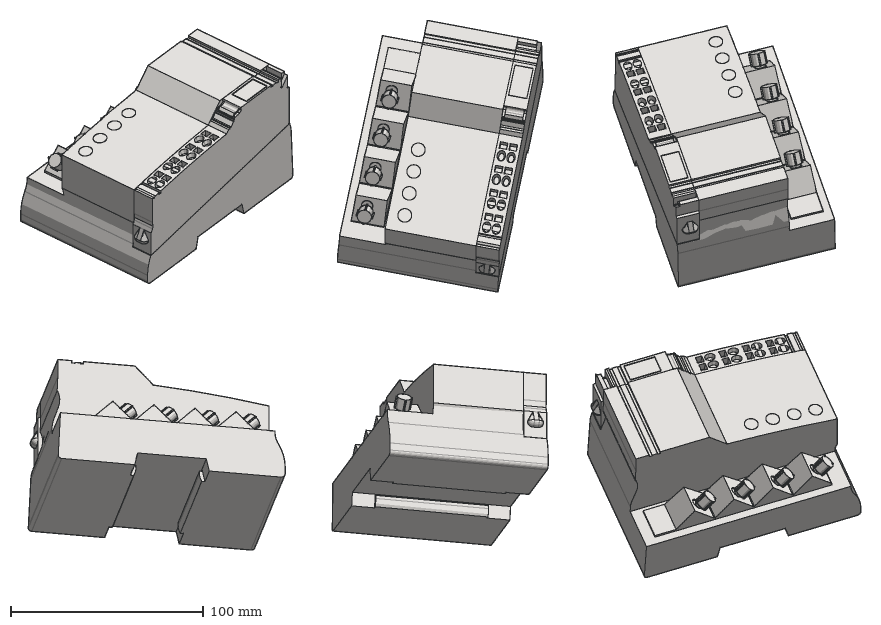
import cadquery as cq
import math


module_width = 85.0
module_depth = 120.1
top_height = 70.4
shelf_height = 26.7
terminal_width = 12.3
shelf_width = 2 * terminal_width
terminal_x = module_width - terminal_width
terminal_mid_x = module_width - terminal_width / 2
clearance = 6.0

front_face_y = 4.0
roof_front_height = 53.7
roof_back_y = 65.2
roof_back_height = 60.2
roof_rise = 0.78
slope_top_y = 75.0
back_face_y = 115.8
back_step_height = 60.3

groove_front_y = 102.2
groove_back_y = 108.3
groove_depth = 1.3
groove_ridge_front_y = 103.6
groove_ridge_back_y = 106.6
groove_ridge_height = 0.5

base_front_fillet = 2.3
base_back_fillet = 1.8
rail_slot_height = 7.0
rail_slot_y = 59.9
rail_slot_bottom_width = 39.4
rail_slot_top_width = 36.3
foot_inset = terminal_width
foot_reach_bottom = 1.7
foot_reach_middle = 2.5
foot_middle_height = 1.9
foot_reach = 2.9
foot_bulge_height = 4.2
foot_height = 5.9

indicator_count = 4
indicator_diameter = 7.2
indicator_x = 33.1
indicator_first_y = 12.9
indicator_pitch = 11.9
indicator_depth = 0.1

strip_x = 4.3
strip_width = 17.5
strip_back_y = 112.7
strip_thickness = 1.2
wedge_count = 4
wedge_pitch = 21.7
wedge_height = 10.6
wedge_first_y = 90.3
wedge_draft = 0.5

socket_x = 11.4
socket_from_peak = 8.0
socket_length = 7.3
socket_diameter = 7.5
key_width = 0.7
key_span = 8.8
neck_diameter = 6.0
neck_length = 0.6
relief_offset = 2.9
relief_diameter = 6.0
relief_depth = 0.7

plate_front_y = 3.0
plate_back_y = 117.1
plate_top_rise = 0.5
seat_front_height = 17.5
seat_back_height = 36.6
front_plate_top = 32.0
hook_y = 77.1
release_cheek = 1.3

square_groove_front_y = 9.6
square_groove_back_y = 10.9
square_groove_depth = 1.2
lip_groove_front_y = 5.2
lip_groove_back_y = 6.5
lip_groove_depth = 0.7

notch_front_y = 110.5
notch_wall_y = 113.5
notch_end_x = 82.9
notch_depth = 4.8
notch_floor_rise = 0.6
notch_bevel_length = 1.0
notch_bevel_height = 0.4
ramp_foot_y = 111.2
ramp_depth = 6.6

label_left_x = 74.1
label_right_x = 83.7
label_front_y = 83.3
label_back_y = 100.4
label_depth = 0.5

cell_rows = 4
cell_columns = 2
cell_first_y = 14.7
cell_row_pitch = 13.0
cell_column_pitch = 5.2
cell_x = terminal_mid_x - 0.1
wire_hole_width = 4.3
wire_hole_length = 5.6
wire_hole_depth = 2.4
wire_hole_taper = 18
test_hole_offset = 5.6
test_hole_width = 3.8
test_hole_length = 3.5
test_hole_depth = 4.8

stud_radius = 3.0
stud_cone_height = 5.6
stud_spread = 2.6
front_stud_x = terminal_mid_x
front_stud_height = front_plate_top - stud_cone_height
back_stud_x = terminal_mid_x - 1.0
back_stud_height = 48.9


def roof_height(y):
    """Height of the gently arched roof at a distance y from the front."""
    t = (y - front_face_y) / (roof_back_y - front_face_y)
    chord = roof_front_height + t * (roof_back_height - roof_front_height)
    return chord + 4 * roof_rise * t * (1 - t)


def roof_angle(y):
    """Slope of the roof in degrees."""
    length = roof_back_y - front_face_y
    t = (y - front_face_y) / length
    slope = (roof_back_height - roof_front_height + 4 * roof_rise * (1 - 2 * t)) / length
    return math.degrees(math.atan(slope))


def lay_on_roof(tool, x, y):
    """Move a tool drawn around the origin onto the roof, square to its surface."""
    return tool.rotate((0, 0, 0), (1, 0, 0), roof_angle(y)).translate((x, y, roof_height(y)))


def side_sketch(x):
    """Sketch plane facing +X, with Y to the right and Z up."""
    return cq.Workplane("YZ", origin=(x, 0, 0))


def block(x0, x1, y0, y1, z0, z1):
    return cq.Workplane("XY").box(x1 - x0, y1 - y0, z1 - z0, centered=False).translate((x0, y0, z0))


roof_mid_y = (front_face_y + roof_back_y) / 2
roof_mid = (roof_mid_y, roof_height(roof_mid_y))
roof_back = (roof_back_y, roof_back_height)


def housing_block():
    """Side outline of the base and the tall part, run across the full width."""
    front_tangent = (0, 6.2)
    front_fold = (3.4, 18.9)
    outline = (
        side_sketch(0)
        .moveTo(0, 0)
        .lineTo(*front_tangent)
        .threePointArc((1.0, 13.0), front_fold)
        .threePointArc((5.4, 25.8), (front_face_y, 32.2))
        .lineTo(front_face_y, roof_front_height)
        .threePointArc(roof_mid, roof_back)
        .lineTo(slope_top_y, top_height)
        .lineTo(back_face_y, top_height)
        .lineTo(back_face_y, back_step_height)
        .lineTo(116.1, 52.1)
        .spline([(114.8, 45.6), (116.5, 39.4), (118.8, 30.3)], includeCurrent=True)
        .lineTo(module_depth, 2.4)
        .lineTo(module_depth, 0)
        .close()
    )
    solid = outline.extrude(module_width)
    solid = solid.edges("|X and <Z and <Y").fillet(base_front_fillet)
    return solid.edges("|X and <Z and >Y").fillet(base_back_fillet)


def shelf_cut():
    return block(-clearance, shelf_width, -clearance, module_depth + clearance,
                 shelf_height, top_height + clearance)


def seat_height(y):
    """Height of the sloping seat that carries the terminal."""
    slope = (seat_back_height - seat_front_height) / (plate_back_y - plate_front_y)
    return seat_front_height + slope * (y - plate_front_y)


def terminal_seat_cut():
    front = -clearance
    back = module_depth + clearance
    above = top_height + clearance
    corners = [(front, seat_height(front)), (back, seat_height(back)), (back, above), (front, above)]
    return side_sketch(terminal_x).polyline(corners).close().extrude(terminal_width + clearance)


def label_groove_cut():
    floor = top_height - groove_depth
    ridge = floor + groove_ridge_height
    corners = [
        (groove_front_y, top_height), (groove_front_y, floor),
        (groove_ridge_front_y, floor), (groove_ridge_front_y, ridge),
        (groove_ridge_back_y, ridge), (groove_ridge_back_y, floor),
        (groove_back_y, floor), (groove_back_y, top_height),
    ]
    return side_sketch(0).polyline(corners).close().extrude(module_width)


def rail_slot_cut():
    bottom = rail_slot_bottom_width / 2
    top = rail_slot_top_width / 2
    corners = [
        (rail_slot_y - bottom, 0), (rail_slot_y - top, rail_slot_height),
        (rail_slot_y + top, rail_slot_height), (rail_slot_y + bottom, 0),
    ]
    return side_sketch(0).polyline(corners).close().extrude(module_width)


def rail_foot():
    """Hook that narrows the front side of the rail slot."""
    wall_bottom = rail_slot_y - rail_slot_bottom_width / 2
    wall_top = rail_slot_y - rail_slot_top_width / 2
    root = wall_bottom - clearance
    bulge_middle = (wall_bottom + foot_reach_middle, foot_middle_height)
    bulge_end = (wall_bottom + foot_reach, foot_bulge_height)
    return (
        side_sketch(foot_inset)
        .moveTo(root, 0)
        .lineTo(wall_bottom + foot_reach_bottom, 0)
        .threePointArc(bulge_middle, bulge_end)
        .lineTo(wall_bottom + foot_reach, foot_height)
        .lineTo(wall_top, foot_height)
        .lineTo(wall_top, rail_slot_height)
        .lineTo(root, rail_slot_height)
        .close()
        .extrude(module_width - 2 * foot_inset)
    )


def make_housing():
    housing = housing_block().cut(shelf_cut()).cut(terminal_seat_cut())
    housing = housing.cut(label_groove_cut()).cut(rail_slot_cut())
    front_foot = rail_foot()
    housing = housing.union(front_foot).union(front_foot.mirror("XZ", (0, rail_slot_y, 0)))
    window = cq.Workplane("XY").circle(indicator_diameter / 2).extrude(clearance)
    window = window.translate((0, 0, -indicator_depth))
    for i in range(indicator_count):
        housing = housing.cut(lay_on_roof(window, indicator_x, indicator_first_y + i * indicator_pitch))
    return housing


wedge_foot_height = shelf_height + strip_thickness
wedge_peak_height = wedge_foot_height + wedge_height
wedge_peaks = [wedge_first_y - i * wedge_pitch for i in range(wedge_count)]


def strip_block():
    corners = [(strip_back_y, shelf_height), (strip_back_y, wedge_foot_height)]
    for peak in wedge_peaks:
        corners += [
            (peak + wedge_height, wedge_foot_height),
            (peak, wedge_peak_height),
            (peak - wedge_height, wedge_foot_height),
        ]
    corners.append((wedge_peaks[-1] - wedge_height, shelf_height))
    return side_sketch(strip_x).polyline(corners).close().extrude(strip_width)


def strip_draft():
    """Prism whose sides lean inward from the shelf to the wedge peaks."""
    right = strip_x + strip_width
    corners = [
        (strip_x, shelf_height),
        (strip_x + wedge_draft, wedge_peak_height), (right - wedge_draft, wedge_peak_height),
        (right, shelf_height),
    ]
    return cq.Workplane("XZ").polyline(corners).close().extrude(-module_depth)


def socket_plane(peak):
    """Plane on the front flank of a wedge, centred on its socket, with local Y toward the peak."""
    drop = socket_from_peak / math.sqrt(2)
    origin = (socket_x, peak - drop, wedge_peak_height - drop)
    return cq.Plane(origin=origin, xDir=(1, 0, 0), normal=(0, -1, 1))


def socket(peak):
    """Round socket with lengthwise keys, standing on a narrower neck."""
    flank = cq.Workplane(socket_plane(peak))
    body_length = socket_length - neck_length
    neck_sketch = flank.workplane(offset=-relief_depth)
    neck = neck_sketch.circle(neck_diameter / 2).extrude(relief_depth + neck_length)
    body_sketch = flank.workplane(offset=neck_length)
    body = body_sketch.circle(socket_diameter / 2).extrude(body_length)
    for key_sides in ((key_span, key_width), (key_width, key_span)):
        body = body.union(body_sketch.rect(*key_sides).extrude(body_length))
    return body.union(neck)


def socket_relief(peak):
    """Shallow round recess behind the socket."""
    flank = cq.Workplane(socket_plane(peak))
    return flank.center(0, relief_offset).circle(relief_diameter / 2).extrude(-relief_depth)


def make_strip():
    strip = strip_block().intersect(strip_draft())
    for peak in wedge_peaks:
        strip = strip.cut(socket_relief(peak)).union(socket(peak))
    return strip


def terminal_block():
    """Side outline of the terminal, with a stepped grip on its slope and a hooked release lip."""
    grip_steps = [
        (67.0, 62.0), (68.2, 62.0), (68.2, 62.5), (69.2, 62.5), (71.0, 64.9),
        (71.5, 64.9), (71.5, 65.9), (71.9, 65.9), (71.9, 66.8), (73.4, 68.2),
    ]
    outline = (
        side_sketch(terminal_x)
        .moveTo(plate_front_y, seat_height(plate_front_y))
        .lineTo(plate_front_y, front_plate_top)
        .lineTo(4.1, 34.1)
        .lineTo(4.6, 35.4)
        .lineTo(front_face_y, 38.4)
        .lineTo(front_face_y, roof_front_height)
        .threePointArc(roof_mid, roof_back)
    )
    for step in grip_steps:
        outline = outline.lineTo(*step)
    outline = (
        outline.lineTo(74.7, 68.2)
        .threePointArc((76.1, 68.6), (hook_y - 0.2, 69.5))
        .lineTo(hook_y, top_height)
        .lineTo(back_face_y, top_height)
        .lineTo(back_face_y, back_step_height + plate_top_rise)
        .lineTo(plate_back_y, back_step_height)
        .lineTo(plate_back_y, seat_height(plate_back_y))
        .close()
    )
    return outline.extrude(terminal_width)


def stud_outline(x):
    """Outward half of a stud's outline: a straight taper above a quarter circle."""
    diagonal = stud_radius * math.sqrt(0.5)
    return (
        side_sketch(x)
        .moveTo(0, stud_cone_height)
        .lineTo(stud_radius, 0)
        .threePointArc((diagonal, -diagonal), (0, -stud_radius))
        .close()
    )


def locking_stud():
    """Two quarter-turn rounded cones joined by a straight middle, facing +Y from the origin."""
    half_spread = stud_spread / 2
    middle = stud_outline(-half_spread).extrude(stud_spread)
    right_end = stud_outline(half_spread).revolve(90, (0, 0, 0), (0, -1, 0))
    return middle.union(right_end).union(right_end.mirror("YZ"))


def wire_cell_cut():
    """Tapered oval wire hole with a square test hole behind it."""
    wire_hole = (
        cq.Workplane("XY")
        .ellipse(wire_hole_width / 2, wire_hole_length / 2)
        .extrude(-wire_hole_depth, taper=wire_hole_taper)
    )
    test_hole = (
        cq.Workplane("XY", origin=(0, test_hole_offset, 0))
        .rect(test_hole_width, test_hole_length)
        .extrude(2 * test_hole_depth)
        .translate((0, 0, -test_hole_depth))
    )
    return wire_hole.union(test_hole)


def front_groove_cuts():
    """Square groove behind the front land and a sloping one behind the front lip."""
    square_groove = block(terminal_x, module_width, square_groove_front_y, square_groove_back_y,
                          roof_height(square_groove_front_y) - square_groove_depth, top_height)
    corners = [
        (lip_groove_front_y, roof_height(lip_groove_front_y) - lip_groove_depth),
        (lip_groove_back_y, roof_height(lip_groove_back_y)),
        (lip_groove_back_y, top_height), (lip_groove_front_y, top_height),
    ]
    return square_groove.union(side_sketch(terminal_x).polyline(corners).close().extrude(terminal_width))


def back_notch_cut():
    """Notch in front of the back wall, with a gently rising floor."""
    floor = top_height - notch_depth
    corners = [
        (notch_front_y, floor), (notch_wall_y, floor + notch_floor_rise),
        (notch_wall_y, top_height), (notch_front_y, top_height),
    ]
    return side_sketch(terminal_x).polyline(corners).close().extrude(notch_end_x - terminal_x)


def notch_bevel_cut():
    """Bevel along the front rim of the notch."""
    corners = [
        (notch_front_y - notch_bevel_length, top_height), (notch_front_y, top_height),
        (notch_front_y, top_height - notch_bevel_height),
    ]
    return side_sketch(terminal_x).polyline(corners).close().extrude(terminal_width)


def corner_ramp_cut():
    """Steep ramp that takes away the back corner beside the notch."""
    floor = top_height - ramp_depth
    corners = [
        (notch_front_y, floor), (ramp_foot_y, floor),
        (plate_back_y, top_height), (notch_front_y, top_height),
    ]
    return side_sketch(notch_end_x).polyline(corners).close().extrude(module_width - notch_end_x)


def label_pocket_cut():
    return block(label_left_x, label_right_x, label_front_y, label_back_y,
                 top_height - label_depth, top_height)


def release_cheek_cut(x):
    """Notch that narrows the release lip at one of its ends."""
    corners = [(76.7, 69.5), (77.6, 68.5), (76.1, 67.5), (72.3, 66.8), (72.3, 68.7), (74.7, 68.7)]
    return side_sketch(x).polyline(corners).close().extrude(release_cheek)


def make_terminal():
    terminal = terminal_block()
    terminal = terminal.cut(label_groove_cut()).cut(label_pocket_cut()).cut(front_groove_cuts())
    terminal = terminal.cut(back_notch_cut()).cut(notch_bevel_cut()).cut(corner_ramp_cut())
    for cheek_x in (terminal_x, module_width - release_cheek):
        terminal = terminal.cut(release_cheek_cut(cheek_x))
    cell = wire_cell_cut()
    for row in range(cell_rows):
        y = cell_first_y + row * cell_row_pitch
        for column in range(cell_columns):
            x = cell_x + (column - (cell_columns - 1) / 2) * cell_column_pitch
            terminal = terminal.cut(lay_on_roof(cell, x, y))
    stud = locking_stud()
    front_stud = stud.mirror("XZ").translate((front_stud_x, plate_front_y, front_stud_height))
    back_stud = stud.translate((back_stud_x, plate_back_y, back_stud_height))
    return terminal.union(front_stud).union(back_stud)


housing = make_housing()
connector_strip = make_strip()
terminal = make_terminal()

result = cq.Compound.makeCompound([housing.val(), connector_strip.val(), terminal.val()])